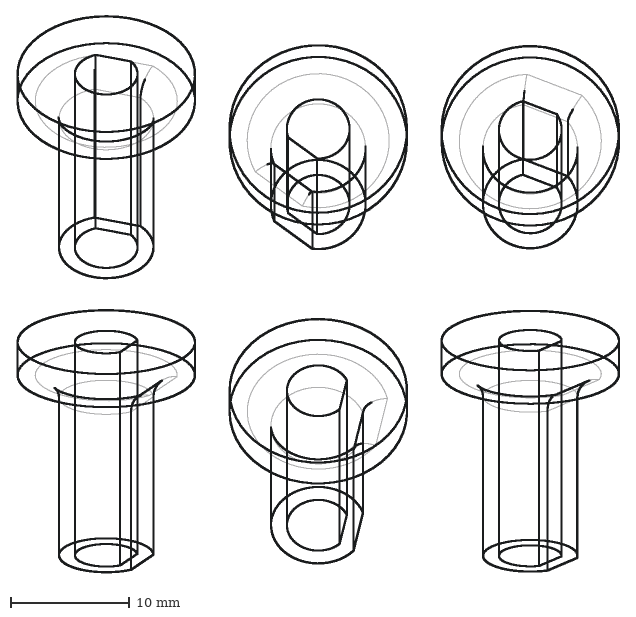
import cadquery as cq

flange_diameter = 15.0
flange_thickness = 3.0
total_height = 19.3
shank_length = total_height - flange_thickness

bore_diameter = 5.3
bore_flat_offset = 2.15

shank_diameter = 8.0
shank_flat_offset = 3.45
fillet_radius = 2.0


def d_prism(diameter, flat_offset, height):
    """Cylinder standing on Z = 0, cut flat at Y = flat_offset."""
    cylinder = cq.Workplane("XY").circle(diameter / 2).extrude(height)
    keep_depth = diameter / 2 + flat_offset
    keep_box = (
        cq.Workplane("XY")
        .center(0, flat_offset - keep_depth / 2)
        .rect(diameter, keep_depth)
        .extrude(height)
    )
    return cylinder.intersect(keep_box)


def make_body():
    """Shank with the flange on top, blended where they meet."""
    shank = d_prism(shank_diameter, shank_flat_offset, shank_length)
    flange = (
        cq.Workplane("XY")
        .workplane(offset=shank_length)
        .circle(flange_diameter / 2)
        .extrude(flange_thickness)
    )
    shank_reach = shank_diameter / 2 + fillet_radius
    junction = cq.selectors.BoxSelector(
        (-shank_reach, -shank_reach, shank_length - fillet_radius / 2),
        (shank_reach, shank_reach, shank_length + fillet_radius / 2),
        boundingbox=True,
    )
    return shank.union(flange).edges(junction).fillet(fillet_radius)


bore = d_prism(bore_diameter, bore_flat_offset, total_height)
result = make_body().cut(bore)